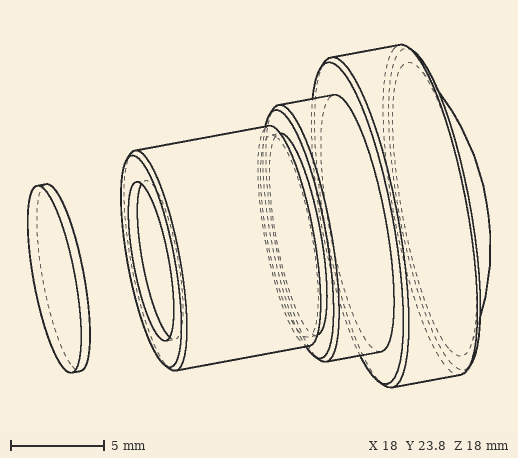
import cadquery as cq


flange_diameter = 18.0
shoulder_diameter = 14.0
barrel_diameter = 12.0
neck_diameter = 11.0
dome_base_diameter = 16.0
recess_diameter = 8.65
window_diameter = 10.2

barrel_length = 7.7
neck_length = 0.5
shoulder_length = 3.3
flange_length = 4.3
recess_depth = 0.5
window_thickness = 0.5
window_gap = 4.9
overall_length = 23.78

edge_chamfer = 0.24

neck_start = barrel_length
shoulder_start = neck_start + neck_length
flange_start = shoulder_start + shoulder_length
flange_end = flange_start + flange_length
dome_apex = overall_length - window_gap - window_thickness

dome_height = dome_apex - flange_end
dome_base_radius = dome_base_diameter / 2
dome_sphere_radius = (dome_base_radius**2 + dome_height**2) / (2 * dome_height)


def disc(diameter, start, length):
    """Round disc on the optical axis, running from start towards +Y."""
    return (
        cq.Workplane("XZ", origin=(0, start, 0))
        .circle(diameter / 2)
        .extrude(-length)
    )


def make_dome():
    """Spherical cap standing on the front face of the flange."""
    sphere_centre = dome_apex - dome_sphere_radius
    ball = cq.Workplane("XY").sphere(dome_sphere_radius).translate((0, sphere_centre, 0))
    return ball.intersect(disc(flange_diameter, flange_end, dome_height))


def make_lens_barrel():
    """Stepped lens barrel with its front dome and the recess in its sensor-side end."""
    barrel = disc(barrel_diameter, 0, barrel_length).faces("<Y").chamfer(edge_chamfer)
    neck = disc(neck_diameter, neck_start, neck_length)
    shoulder = disc(shoulder_diameter, shoulder_start, shoulder_length)
    shoulder = shoulder.faces("<Y").chamfer(edge_chamfer)
    flange = disc(flange_diameter, flange_start, flange_length)
    flange = flange.faces("<Y or >Y").chamfer(edge_chamfer)
    recess = disc(recess_diameter, 0, recess_depth)
    body = barrel.union(neck).union(shoulder).union(flange).union(make_dome())
    return body.cut(recess)


def make_window():
    """Thin flat window standing clear of the sensor-side end of the barrel."""
    return disc(window_diameter, -window_gap - window_thickness, window_thickness)


lens_barrel = make_lens_barrel()
window = make_window()

result = cq.Compound.makeCompound([lens_barrel.solids().val(), window.val()])